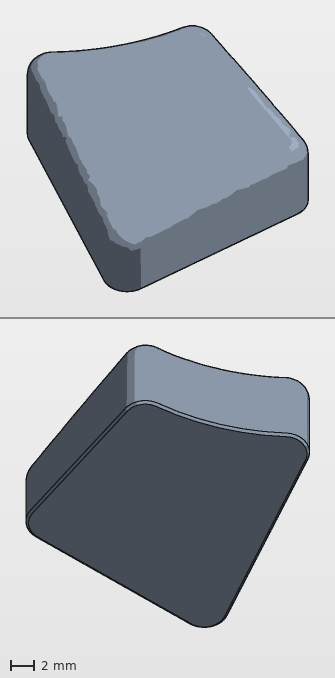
import cadquery as cq
import math

right_x = 22.25
back_y = 20.57
front_slope = math.radians(14)
corner_diameter = 4.25
corner_radius = corner_diameter / 2
arc_center = (-19.63, 20.88)
left_corner = (
    corner_radius,
    corner_radius + (right_x - 2 * corner_radius) * math.tan(front_slope),
)
arc_radius = math.dist(arc_center, left_corner) - corner_radius

height = 8.85
top_fillet = 1.54
rim_radius = arc_radius + top_fillet
rim_slope = 0.077
crown_radius = 244.85
base_chamfer = 0.22
overrun = 4.45


def front_y(x):
    """Y of the front wall line; its right-hand corner touches y = 0."""
    corner_x = right_x - corner_radius
    touch_y = corner_radius * (1 - 1 / math.cos(front_slope))
    return touch_y + (corner_x - x) * math.tan(front_slope)


def arc_point(angle):
    return (
        arc_center[0] + arc_radius * math.cos(angle),
        arc_center[1] + arc_radius * math.sin(angle),
    )


def front_arc_angle():
    """Angle at which the left arc meets the front wall line."""
    line_angle = -front_slope
    gap = front_y(arc_center[0]) - arc_center[1]
    return line_angle + math.asin(gap * math.cos(front_slope) / arc_radius)


def make_block():
    back_angle = math.asin((back_y - arc_center[1]) / arc_radius)
    front_angle = front_arc_angle()
    return (
        cq.Workplane("XY")
        .moveTo(right_x, front_y(right_x))
        .lineTo(right_x, back_y)
        .lineTo(*arc_point(back_angle))
        .threePointArc(arc_point((back_angle + front_angle) / 2), arc_point(front_angle))
        .close()
        .extrude(height + overrun)
        .edges("|Z")
        .fillet(corner_radius)
    )


def make_crown():
    """Solid of revolution whose upper face is the crowned top."""
    rim_angle = math.atan(rim_slope)
    profile_x = rim_radius - crown_radius * math.sin(rim_angle)
    profile_z = height - crown_radius * math.cos(rim_angle)

    def crown_point(radius):
        rise = math.sqrt(crown_radius**2 - (radius - profile_x) ** 2)
        return (radius, profile_z + rise)

    inner = arc_radius - overrun
    outer = math.dist(arc_center, (right_x, 0)) + overrun
    return (
        cq.Workplane("XZ")
        .moveTo(inner, -overrun)
        .lineTo(*crown_point(inner))
        .threePointArc(crown_point((inner + outer) / 2), crown_point(outer))
        .lineTo(outer, -overrun)
        .close()
        .revolve(360, (0, 0, 0), (0, 1, 0))
        .translate((arc_center[0], arc_center[1], 0))
    )


block = make_block().faces("<Z").chamfer(base_chamfer)
result = block.intersect(make_crown()).faces(">Z").fillet(top_fillet)